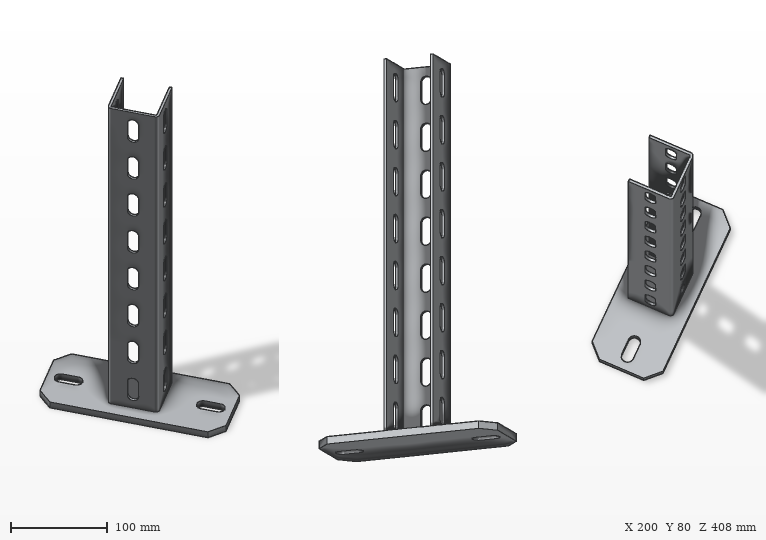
import cadquery as cq

plate_length = 200.0
plate_width = 80.0
plate_thickness = 8.0
corner_chamfer = 15.0
anchor_slot_length = 30.0
anchor_slot_width = 13.0
anchor_slot_spacing = 153.0

channel_height = 400.0
channel_width = 55.0
channel_depth = 50.0
wall = 3.0
bend_inner_radius = 1.0
bend_outer_radius = bend_inner_radius + wall

slot_length = 30.0
slot_width = 12.0
slot_pitch = 50.0
slot_count = round(channel_height / slot_pitch)


def make_base_plate():
    """Flat plate with chamfered corners and an anchor slot near each end."""
    plate = (
        cq.Workplane("XY")
        .rect(plate_length, plate_width)
        .extrude(plate_thickness)
        .edges("|Z")
        .chamfer(corner_chamfer)
    )
    anchor_slots = (
        cq.Workplane("XY")
        .rarray(anchor_slot_spacing, 1, 2, 1)
        .slot2D(anchor_slot_length, anchor_slot_width)
        .extrude(plate_thickness)
    )
    return plate.cut(anchor_slots)


def make_channel_section():
    """Plain U-channel with its two bends rounded inside and out."""
    outer = (
        cq.Workplane("XY", origin=(0, 0, plate_thickness))
        .rect(channel_width, channel_depth)
        .extrude(channel_height)
        .edges("|Z and <Y")
        .fillet(bend_outer_radius)
    )
    cavity = (
        cq.Workplane("XY", origin=(0, wall, plate_thickness))
        .rect(channel_width - 2 * wall, channel_depth)
        .extrude(channel_height)
        .edges("|Z and <Y")
        .fillet(bend_inner_radius)
    )
    return outer.cut(cavity)


def make_slot_row(plane, reach, both_ways):
    """Column of upright slot cutters, extruded by reach along the plane's normal or both ways."""
    mid_height = plate_thickness + channel_height / 2
    return (
        cq.Workplane(plane, origin=(0, 0, mid_height))
        .rarray(1, slot_pitch, 1, slot_count)
        .slot2D(slot_length, slot_width, 90)
        .extrude(reach, both=both_ways)
    )


def make_channel():
    """U-channel with slots through the web (-Y side) and through both flanges."""
    web_slots = make_slot_row("XZ", channel_depth, both_ways=False)
    flange_slots = make_slot_row("YZ", channel_width, both_ways=True)
    return make_channel_section().cut(web_slots).cut(flange_slots)


base_plate = make_base_plate()
channel = make_channel()

result = cq.Compound.makeCompound([base_plate.val(), channel.val()])